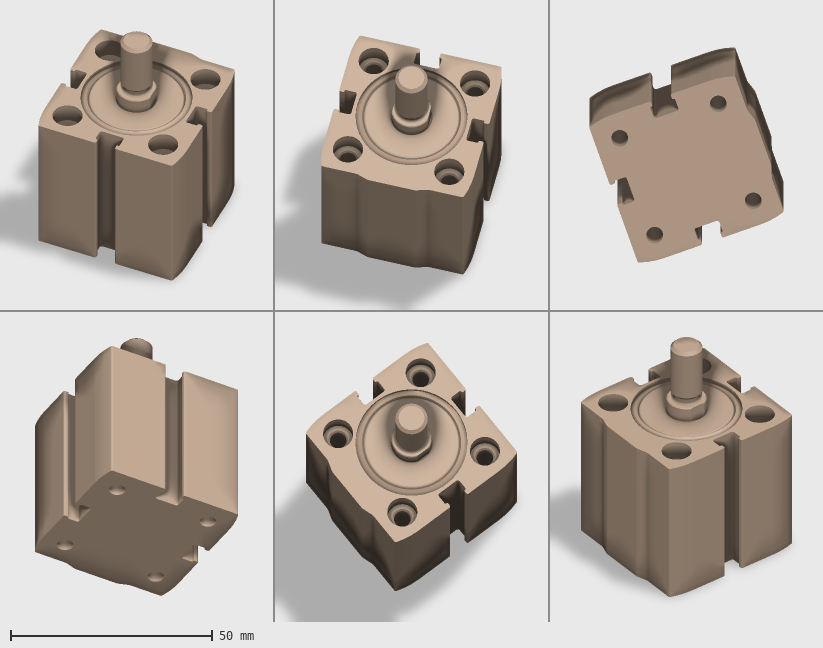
import cadquery as cq
import math

total_height = 58.5
housing_height = 38.95
half_width = 19.25

flat_half_length = 12.7
side_radius = 20.0
corner_radius = 0.5
bump_rise = 1.0
bump_top_half = 6.1
bump_base_half = 9.1
bump_radius = 2.0

slot_mouth_half = 2.6
slot_inner_half = 3.245
slot_depth = 4.5
slot_lip = 1.35
lip_outer_radius = 0.45
lip_inner_radius = 0.3
slot_floor_radius = 0.6

hole_offset = 13.0
hole_diameter = 4.15
hole_mouth_diameter = 5.0
counterbore_diameter = 7.5
counterbore_depth = 5.0

groove_outer_diameter = 27.8
groove_inner_diameter = 24.6
groove_depth = 1.0
cover_recess = 0.25
seam_bottom_diameter = 24.0
seam_depth = 0.7
cover_rim_diameter = 23.4
cover_rim_drop = 0.35
cover_face_diameter = 22.8

collar_diameter = 10.0
collar_top = 42.5
collar_chamfer = 0.25
flats_width = 9.1
flats_sink = 1.0
thread_diameter = 8.0
thread_bottom = 44.85
neck_diameter = 6.4
neck_fillet = 0.5
tip_chamfer = (thread_diameter - neck_diameter) / 2
rod_insertion = 10.0
bore_chamfer = 0.25

cover_top = housing_height - cover_recess
rod_bottom = housing_height - rod_insertion
flats_bottom = housing_height - flats_sink


def round_vertical_edges(body, places, radius):
    """Fillet the edges parallel to Z that stand at the given (x, y) places."""
    for x, y in places:
        edge = body.edges("|Z").edges(cq.selectors.NearestToPointSelector((x, y, housing_height / 2)))
        body = edge.fillet(radius)
    return body


def make_housing_block():
    """Extruded outline: bowed X sides, flat -Y side, raised pad on the +Y side."""
    arc_rise = half_width - flat_half_length
    corner_x = half_width - side_radius + math.sqrt(side_radius**2 - arc_rise**2)
    middle_rise = arc_rise / 2
    middle_x = half_width - side_radius + math.sqrt(side_radius**2 - middle_rise**2)
    middle_y = flat_half_length + middle_rise
    bump_y = half_width + bump_rise

    block = (
        cq.Workplane("XY")
        .moveTo(-corner_x, -half_width)
        .lineTo(corner_x, -half_width)
        .threePointArc((middle_x, -middle_y), (half_width, -flat_half_length))
        .lineTo(half_width, flat_half_length)
        .threePointArc((middle_x, middle_y), (corner_x, half_width))
        .lineTo(bump_base_half, half_width)
        .lineTo(bump_top_half, bump_y)
        .lineTo(-bump_top_half, bump_y)
        .lineTo(-bump_base_half, half_width)
        .lineTo(-corner_x, half_width)
        .threePointArc((-middle_x, middle_y), (-half_width, flat_half_length))
        .lineTo(-half_width, -flat_half_length)
        .threePointArc((-middle_x, -middle_y), (-corner_x, -half_width))
        .close()
        .extrude(housing_height)
    )
    corners = [(sx * corner_x, sy * half_width) for sx in (-1, 1) for sy in (-1, 1)]
    bump_bends = [
        (side * x, y)
        for side in (-1, 1)
        for x, y in ((bump_base_half, half_width), (bump_top_half, bump_y))
    ]
    block = round_vertical_edges(block, corners, corner_radius)
    return round_vertical_edges(block, bump_bends, bump_radius)


def cut_slots(body):
    """Cut the T-shaped sensor slots and round their lips."""
    floor = half_width - slot_depth
    lip_inside = half_width - slot_lip
    slot_length = half_width - floor
    pocket_length = lip_inside - floor
    mouth = (
        cq.Workplane("XY")
        .center(floor + slot_length / 2, 0)
        .rect(slot_length, 2 * slot_mouth_half)
        .extrude(housing_height)
    )
    pocket = (
        cq.Workplane("XY")
        .center(floor + pocket_length / 2, 0)
        .rect(pocket_length, 2 * slot_inner_half)
        .extrude(housing_height)
    )
    slot = pocket.union(mouth)
    floor_corners = [(floor, end * slot_inner_half) for end in (-1, 1)]
    inner_bends = [
        (lip_inside, end * half) for end in (-1, 1) for half in (slot_mouth_half, slot_inner_half)
    ]
    slot = round_vertical_edges(slot, floor_corners, slot_floor_radius)
    slot = round_vertical_edges(slot, inner_bends, lip_inner_radius)
    for angle in (0, 180, 270):
        body = body.cut(slot.rotate((0, 0, 0), (0, 0, 1), angle))

    lips = []
    for side in (-1, 1):
        for end in (-1, 1):
            lips.append((side * half_width, end * slot_mouth_half))
        lips.append((side * slot_mouth_half, -half_width))
    return round_vertical_edges(body, lips, lip_outer_radius)


def make_hole_cutter():
    """Mounting hole with a countersunk counterbore, as a solid of revolution about Z."""
    hole_radius = hole_diameter / 2
    mouth_radius = hole_mouth_diameter / 2
    counterbore_radius = counterbore_diameter / 2
    shoulder = housing_height - counterbore_depth
    return (
        cq.Workplane("XZ")
        .moveTo(0, 0)
        .lineTo(hole_radius, 0)
        .lineTo(hole_radius, shoulder - (mouth_radius - hole_radius))
        .lineTo(mouth_radius, shoulder)
        .lineTo(counterbore_radius, shoulder)
        .lineTo(counterbore_radius, housing_height)
        .lineTo(0, housing_height)
        .close()
        .revolve()
    )


def make_outer_groove():
    """Ring groove with an upright outer wall and a cone rising inwards to the top face."""
    return (
        cq.Workplane("XZ")
        .moveTo(groove_outer_diameter / 2, housing_height)
        .lineTo(groove_outer_diameter / 2, housing_height - groove_depth)
        .lineTo(groove_inner_diameter / 2, housing_height)
        .close()
        .revolve()
    )


def make_cover_recess():
    """Shallow recess over the end cover, with the V-shaped seam around the cover edge."""
    return (
        cq.Workplane("XZ")
        .moveTo(0, housing_height)
        .lineTo(groove_inner_diameter / 2, housing_height)
        .lineTo(seam_bottom_diameter / 2, housing_height - seam_depth)
        .lineTo(cover_rim_diameter / 2, housing_height - cover_rim_drop)
        .lineTo(cover_face_diameter / 2, cover_top)
        .lineTo(0, cover_top)
        .close()
        .revolve()
    )


def make_rod_bore():
    """Blind bore that the rod fills, chamfered at the end cover face."""
    radius = collar_diameter / 2
    return (
        cq.Workplane("XZ")
        .moveTo(0, rod_bottom)
        .lineTo(radius, rod_bottom)
        .lineTo(radius, cover_top - bore_chamfer)
        .lineTo(radius + bore_chamfer, cover_top)
        .lineTo(0, cover_top)
        .close()
        .revolve()
    )


def make_housing():
    body = cut_slots(make_housing_block())
    hole = make_hole_cutter()
    for x in (-hole_offset, hole_offset):
        for y in (-hole_offset, hole_offset):
            body = body.cut(hole.translate((x, y, 0)))
    body = body.cut(make_outer_groove())
    body = body.cut(make_cover_recess())
    return body.cut(make_rod_bore())


def make_piston_rod():
    """Turned rod: collar, filleted neck and chamfered thread, then the two wrench flats."""
    collar_radius = collar_diameter / 2
    thread_radius = thread_diameter / 2
    neck_radius = neck_diameter / 2
    blend_angle = math.radians(45)
    blend_out = neck_fillet * (1 - math.cos(blend_angle))
    blend_up = neck_fillet * math.sin(blend_angle)
    cone_start_radius = neck_radius + blend_out
    cone_start = thread_bottom - (thread_radius - cone_start_radius)
    neck_top = cone_start - blend_up

    rod = (
        cq.Workplane("XZ")
        .moveTo(0, rod_bottom)
        .lineTo(collar_radius, rod_bottom)
        .lineTo(collar_radius, collar_top - collar_chamfer)
        .lineTo(collar_radius - collar_chamfer, collar_top)
        .lineTo(neck_radius + neck_fillet, collar_top)
        .radiusArc((neck_radius, collar_top + neck_fillet), neck_fillet)
        .lineTo(neck_radius, neck_top)
        .radiusArc((cone_start_radius, cone_start), neck_fillet)
        .lineTo(thread_radius, thread_bottom)
        .lineTo(thread_radius, total_height - tip_chamfer)
        .lineTo(thread_radius - tip_chamfer, total_height)
        .lineTo(0, total_height)
        .close()
        .revolve()
    )
    flats_height = collar_top - flats_bottom
    for side in (-1, 1):
        flat_cut = (
            cq.Workplane("XY", origin=(side * (flats_width + collar_diameter) / 2, 0, flats_bottom))
            .rect(collar_diameter, collar_diameter)
            .extrude(flats_height)
        )
        rod = rod.cut(flat_cut)
    return rod


housing = make_housing()
piston_rod = make_piston_rod()

result = cq.Compound.makeCompound([housing.val(), piston_rod.val()])